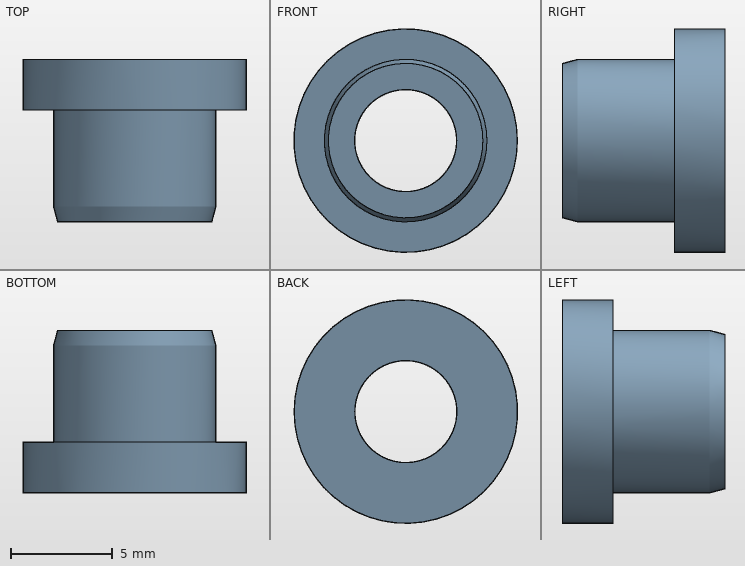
import cadquery as cq
import math

flange_diameter = 11.0
flange_thickness = 2.5
overall_length = 8.0
sleeve_diameter = 8.0
bore_diameter = 5.0

taper_length = 0.75
taper_angle = 15.0
taper_depth = taper_length * math.tan(math.radians(taper_angle))

flange_radius = flange_diameter / 2
sleeve_radius = sleeve_diameter / 2
bore_radius = bore_diameter / 2
flange_face = overall_length - flange_thickness

half_section = (
    cq.Workplane("XY")
    .moveTo(bore_radius, 0)
    .lineTo(sleeve_radius - taper_depth, 0)
    .lineTo(sleeve_radius, taper_length)
    .lineTo(sleeve_radius, flange_face)
    .lineTo(flange_radius, flange_face)
    .lineTo(flange_radius, overall_length)
    .lineTo(bore_radius, overall_length)
    .close()
)

result = half_section.revolve(360, (0, 0, 0), (0, 1, 0))